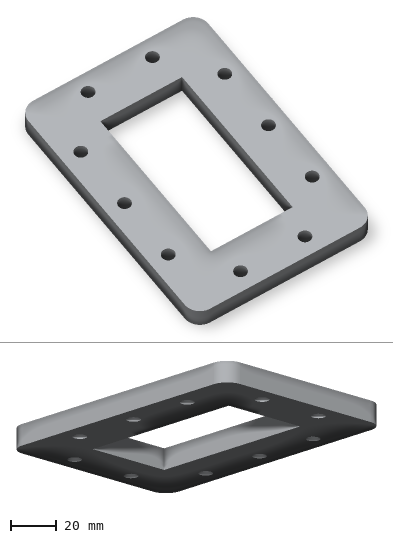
import cadquery as cq

length = 138.1
width = 95.3
thickness = 10.0
corner_radius = 8.0

window_length = 86.3
window_width = 43.2

hole_diameter = 6.5
hole_pitch = 34.1
edge_distance = 9.5
hole_row_x = length / 2 - edge_distance
hole_row_y = width / 2 - edge_distance

hole_centers = []
for side in (-1, 1):
    for step in (-1, 0, 1):
        hole_centers.append((step * hole_pitch, side * hole_row_y))
    for step in (-0.5, 0.5):
        hole_centers.append((side * hole_row_x, step * hole_pitch))

plate = cq.Workplane("XY").box(length, width, thickness).edges("|Z").fillet(corner_radius)
plate = plate.faces(">Z").workplane().rect(window_length, window_width).cutThruAll()
result = plate.faces(">Z").workplane().pushPoints(hole_centers).hole(hole_diameter)